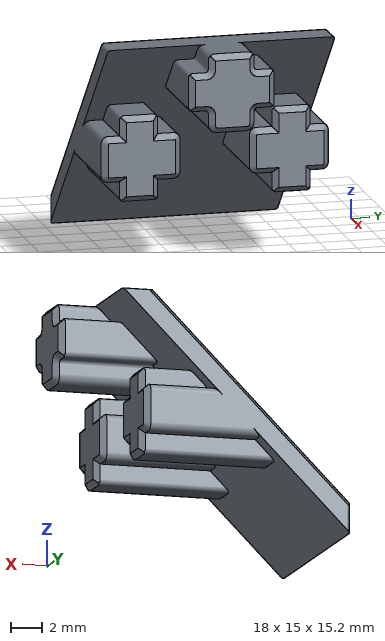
import cadquery as cq

plate_height = 15.15
plate_width = 15.0
plate_thickness = 2.0
plate_edge_size = 0.22

wide_arm_half_width = 1.51
wide_arm_outer_reach = 2.47
wide_arm_inner_reach = 2.74
narrow_arm_half_width = 1.26
narrow_arm_reach = 2.83
narrow_arm_edge_radius = 0.29
tip_chamfer = 0.38

upper_plug_end = 18.0
upper_plug_z = plate_height - wide_arm_outer_reach
upper_outer_radius = 0.4
upper_inner_radius = 0.58
upper_corner_radius = 0.22

lower_plug_end = 13.7
lower_plug_y = plate_width / 2 - wide_arm_outer_reach
lower_plug_z = 7.49
lower_end_radius = 0.45


def fillet_edges(body, edges, radius):
    return body.newObject(edges.vals()).fillet(radius)


def sloped_plate():
    """45 degree plate with its side edges eased, except along its back face."""
    outline = [
        (0, 0),
        (0, plate_thickness),
        (plate_height - plate_thickness, plate_height),
        (plate_height, plate_height),
    ]
    plate = cq.Workplane("XZ").polyline(outline).close().extrude(plate_width / 2, both=True)

    rim_edges = plate.faces("<X or >Z").edges("<Y or >Y")
    rounded_plate = fillet_edges(plate, rim_edges, plate_edge_size)
    front_edges = plate.faces("<(1, 0, -1)").edges("<Y or >Y")
    chamfered_plate = plate.newObject(front_edges.vals()).chamfer(plate_edge_size)
    return rounded_plate.intersect(chamfered_plate)


def cross_bar(end_x):
    """Sharp-edged cross from X = 0 to end_x about the X axis, wide arm's outer reach towards +Z."""
    wide_arm = (
        cq.Workplane("YZ")
        .center(0, (wide_arm_outer_reach - wide_arm_inner_reach) / 2)
        .rect(2 * wide_arm_half_width, wide_arm_outer_reach + wide_arm_inner_reach)
        .extrude(end_x)
    )
    narrow_arm = (
        cq.Workplane("YZ")
        .rect(2 * narrow_arm_reach, 2 * narrow_arm_half_width)
        .extrude(end_x)
    )
    return wide_arm.union(narrow_arm)


def round_narrow_arm(plug):
    return fillet_edges(plug, plug.faces("<Y or >Y").edges("|X"), narrow_arm_edge_radius)


def make_upper_plug():
    plug = cross_bar(upper_plug_end)
    for y in (-wide_arm_half_width, wide_arm_half_width):
        for z in (-narrow_arm_half_width, narrow_arm_half_width):
            inside_corner = cq.selectors.NearestToPointSelector((upper_plug_end / 2, y, z))
            plug = fillet_edges(plug, plug.edges("|X").edges(inside_corner), upper_corner_radius)
    plug = fillet_edges(plug, plug.faces("<Z").edges("|X"), upper_inner_radius)
    plug = plug.faces(">X").chamfer(tip_chamfer)
    plug = fillet_edges(plug, plug.faces(">Z").edges("|X"), upper_outer_radius)
    return round_narrow_arm(plug).translate((0, 0, upper_plug_z))


def make_lower_plug(side):
    """Plug on the -Y (side = -1) or +Y (side = 1) flank of the plate."""
    plug = cross_bar(lower_plug_end)
    plug = fillet_edges(plug, plug.faces("<Z or >Z").edges("|X"), lower_end_radius)
    plug = plug.faces(">X").chamfer(tip_chamfer)
    plug = round_narrow_arm(plug).rotate((0, 0, 0), (1, 0, 0), -90 * side)
    return plug.translate((0, side * lower_plug_y, lower_plug_z))


def behind_plate(plug):
    """Keep the stretch of a plug behind the middle plane of the plate."""
    half_thickness = plate_thickness / 2
    outline = [
        (0, 0),
        (0, half_thickness),
        (plate_height - half_thickness, plate_height),
        (upper_plug_end, plate_height),
        (upper_plug_end, 0),
    ]
    space = cq.Workplane("XZ").polyline(outline).close().extrude(plate_width / 2, both=True)
    return plug.intersect(space)


result = sloped_plate().union(behind_plate(make_upper_plug()))
for side in (-1, 1):
    result = result.union(behind_plate(make_lower_plug(side)))